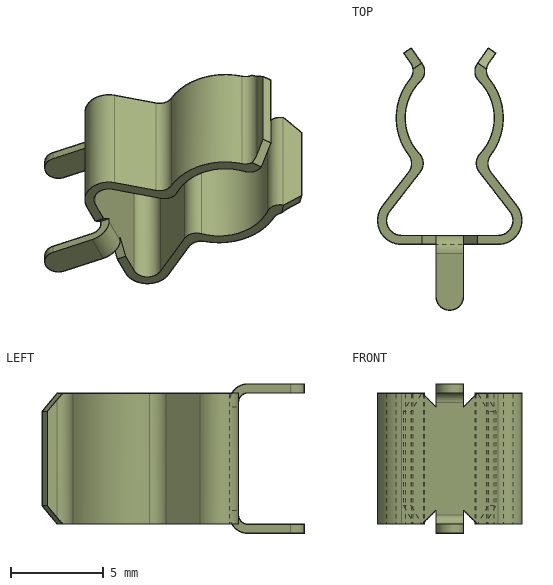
import cadquery as cq
import math


thickness = 0.5
strip_height = 7.11
overall_width = 7.84

bend_radius = 1.3
leg_angle = math.radians(37.7)

grip_radius = 2.83
grip_center_x = -0.42
grip_center_y = 6.86
neck_radius = 0.75

lip_angle = math.radians(35)
lip_tip_x = 2.09
lip_tip_y = 10.66
lip_radius = 0.72
lip_corner_cut = 1.0

prong_width = 1.5
prong_reach = 3.57
prong_bend_radius = 0.5
notch_size = 0.75

bend_center_x = overall_width / 2 - bend_radius
leg_normal = (math.cos(leg_angle), math.sin(leg_angle))
lip_direction = (math.sin(lip_angle), math.cos(lip_angle))
lip_normal = (lip_direction[1], -lip_direction[0])


def along(point, direction, distance):
    """Point reached from a start point by moving a distance along a unit direction."""
    return (point[0] + distance * direction[0], point[1] + distance * direction[1])


def meet_grip(point, direction, radius):
    """First point where a ray from outside meets the grip circle of the given radius."""
    offset_x = point[0] - grip_center_x
    offset_y = point[1] - grip_center_y
    half_b = offset_x * direction[0] + offset_y * direction[1]
    c = offset_x**2 + offset_y**2 - radius**2
    distance = -half_b - math.sqrt(half_b**2 - c)
    return along(point, direction, distance)


def side_points(depth):
    """Corner points of the +X arm on the surface lying a depth inside the outer surface."""
    bend = bend_radius - depth
    center = (bend_center_x, bend_radius)
    bend_start = (bend_center_x, depth)
    bend_middle_angle = (leg_angle - math.pi / 2) / 2
    bend_middle = along(center, (math.cos(bend_middle_angle), math.sin(bend_middle_angle)), bend)
    leg_start = along(center, leg_normal, bend)

    grip = grip_radius + thickness - depth
    leg_direction = (-leg_normal[1], leg_normal[0])
    neck = meet_grip(leg_start, leg_direction, grip)
    grip_middle = (grip_center_x + grip, grip_center_y)
    tip = along((lip_tip_x, lip_tip_y), lip_normal, thickness - depth)
    lip_root = meet_grip(tip, (-lip_direction[0], -lip_direction[1]), grip)
    return bend_start, bend_middle, leg_start, neck, grip_middle, lip_root, tip


def make_half_strip():
    """Bent strip on the +X side, with rounded necks and lip roots."""
    outer = side_points(0)
    inner = side_points(thickness)
    o_start, o_bend, o_leg, o_neck, o_grip, o_root, o_tip = outer
    i_start, i_bend, i_leg, i_neck, i_grip, i_root, i_tip = inner
    strip = (
        cq.Workplane("XY")
        .workplane(offset=-strip_height / 2)
        .moveTo(0, 0)
        .lineTo(*o_start)
        .threePointArc(o_bend, o_leg)
        .lineTo(*o_neck)
        .threePointArc(o_grip, o_root)
        .lineTo(*o_tip)
        .lineTo(*i_tip)
        .lineTo(*i_root)
        .threePointArc(i_grip, i_neck)
        .lineTo(*i_leg)
        .threePointArc(i_bend, i_start)
        .lineTo(0, thickness)
        .close()
        .extrude(strip_height)
    )
    for points, radius in (((o_neck, i_neck), neck_radius), ((o_root, i_root), lip_radius)):
        for x, y in points:
            edge = cq.selectors.NearestToPointSelector((x, y, 0))
            strip = strip.edges("|Z").edges(edge).fillet(radius)
    return strip


def make_lip_corner_cut():
    """Wedges that bevel the upper and lower corners of the +X lip, square to its sheet."""
    lip_plane = cq.Plane(
        origin=(lip_tip_x, lip_tip_y, 0),
        xDir=(lip_direction[0], lip_direction[1], 0),
        normal=(lip_normal[0], lip_normal[1], 0),
    )
    top = strip_height / 2
    wedges = cq.Workplane(lip_plane).workplane(offset=-thickness)
    for side in (1, -1):
        corner = [(-lip_corner_cut, side * top), (0, side * top), (0, side * (top - lip_corner_cut))]
        wedges = wedges.polyline(corner).close()
    return wedges.extrude(3 * thickness)


def make_notch(side):
    """Triangular relief notch beside the top prong, on the given X side."""
    prong_side = side * prong_width / 2
    top = strip_height / 2
    notch = [(prong_side, top - notch_size), (prong_side, top), (prong_side + side * notch_size, top)]
    return cq.Workplane("XZ").polyline(notch).close().extrude(-thickness)


def make_prong():
    """Top prong: bent outward from the base of the clip and rounded at its end."""
    inside_z = strip_height / 2
    outside_z = inside_z + thickness
    bend_z = inside_z - prong_bend_radius
    bend_y = -prong_bend_radius
    outer_bend = prong_bend_radius + thickness
    half_way = math.sqrt(0.5)
    prong = (
        cq.Workplane("YZ")
        .workplane(offset=-prong_width / 2)
        .moveTo(0, bend_z)
        .lineTo(thickness, bend_z)
        .threePointArc((bend_y + outer_bend * half_way, bend_z + outer_bend * half_way), (bend_y, outside_z))
        .lineTo(-prong_reach, outside_z)
        .lineTo(-prong_reach, inside_z)
        .lineTo(bend_y, inside_z)
        .threePointArc(
            (bend_y + prong_bend_radius * half_way, bend_z + prong_bend_radius * half_way),
            (0, bend_z),
        )
        .close()
        .extrude(prong_width)
    )
    end_radius = prong_width / 2
    end_y = end_radius - prong_reach
    outline = (
        cq.Workplane("XY")
        .moveTo(-end_radius, thickness)
        .lineTo(-end_radius, end_y)
        .threePointArc((0, -prong_reach), (end_radius, end_y))
        .lineTo(end_radius, thickness)
        .close()
        .extrude(outside_z)
    )
    return prong.intersect(outline)


def make_prong_clearance():
    """Block of base sheet above the start of the prong bend, replaced by the prong."""
    bend_z = strip_height / 2 - prong_bend_radius
    return (
        cq.Workplane("XY")
        .workplane(offset=bend_z)
        .center(0, thickness / 2)
        .rect(prong_width, thickness)
        .extrude(prong_bend_radius)
    )


half_strip = make_half_strip().cut(make_lip_corner_cut())
result = half_strip.union(half_strip.mirror("YZ"))

prong_cuts = make_prong_clearance().union(make_notch(1)).union(make_notch(-1))
prong = make_prong()
result = result.cut(prong_cuts).cut(prong_cuts.mirror("XY"))
result = result.union(prong).union(prong.mirror("XY")).clean()